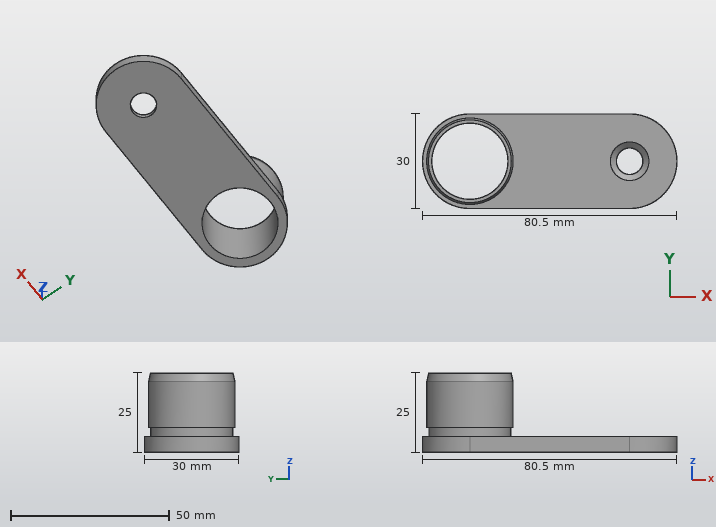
import cadquery as cq

plate_width = 30.0
plate_length = 80.5
plate_thickness = 5.0
center_distance = plate_length - plate_width

total_height = 25.0
sleeve_diameter = 27.37
neck_diameter = 26.0
rim_inset = 0.6
bore_diameter = 24.0
neck_height = 2.8
rim_height = 2.7

screw_diameter = 8.3
countersink_diameter = 12.2
lip_depth = 0.8


def make_plate():
    return (
        cq.Workplane("XY")
        .center(center_distance / 2, 0)
        .slot2D(plate_length, plate_width)
        .extrude(plate_thickness)
    )


def make_sleeve():
    """Revolved sleeve: narrow neck, full-diameter body and tapered rim."""
    neck_top = plate_thickness + neck_height
    taper_start = total_height - rim_height
    return (
        cq.Workplane("XZ")
        .polyline([
            (0, 0),
            (neck_diameter / 2, 0),
            (neck_diameter / 2, neck_top),
            (sleeve_diameter / 2, neck_top),
            (sleeve_diameter / 2, taper_start),
            (sleeve_diameter / 2 - rim_inset, total_height),
            (0, total_height),
        ])
        .close()
        .revolve(360, (0, 0, 0), (0, 1, 0))
    )


def cut_bore(body):
    bore = cq.Workplane("XY").circle(bore_diameter / 2).extrude(total_height)
    return body.cut(bore)


def cut_screw_hole(body):
    """Through hole with a 45 degree countersink sunk below a short straight lip."""
    screw_radius = screw_diameter / 2
    head_radius = countersink_diameter / 2
    cone_top = plate_thickness - lip_depth
    cone_bottom = cone_top - (head_radius - screw_radius)
    hole = (
        cq.Workplane("XZ")
        .polyline([
            (0, 0),
            (screw_radius, 0),
            (screw_radius, cone_bottom),
            (head_radius, cone_top),
            (head_radius, plate_thickness),
            (0, plate_thickness),
        ])
        .close()
        .revolve(360, (0, 0, 0), (0, 1, 0))
        .translate((center_distance, 0, 0))
    )
    return body.cut(hole)


result = make_plate().union(make_sleeve())
result = cut_bore(result)
result = cut_screw_hole(result)